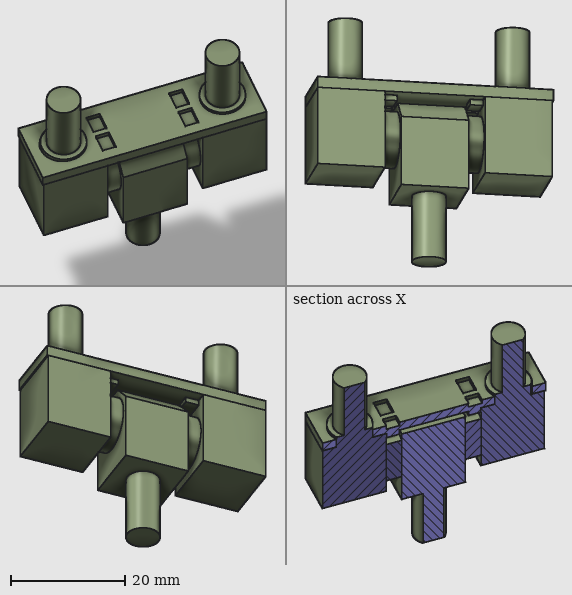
import cadquery as cq

overall_height = 43.0
plate_top = 31.0
plate_thickness = 2.0
plate_bottom = plate_top - plate_thickness

body_width = 12.0

plate_length = 42.0
collar_hole_spacing = 30.0

lug_size_x = 3.5
lug_size_y = 2.5
lug_pitch_x = 4.5
lug_pitch_y = 15.5
lug_drop = 1.0
pocket_depth = 0.8

row_offset = 0.1
block_pitch = 29.8
stud_positions = [row_offset + side * block_pitch / 2 for side in (-1, 1)]

block_length = 12.0
block_height = 14.0
block_bottom = plate_bottom - block_height
collar_diameter = 8.1
collar_stand_proud = 0.5
stud_diameter = 6.0

lever_length = 12.0
lever_bottom = 12.0
lever_top = 28.0
lever_chamfer = 3.5
rod_diameter = 6.0

spacer_diameter = 10.0
spacer_height = block_bottom + block_height / 2
spacer_length = (block_pitch - block_length - lever_length) / 2
spacer_pitch = lever_length + spacer_length


def box(length, y, z_bottom, z_top):
    """Full-width box centred at y."""
    return cq.Workplane("XY", origin=(0, y, z_bottom)).box(
        body_width, length, z_top - z_bottom, centered=(True, True, False)
    )


def cylinder(diameter, y, z_bottom, z_top):
    """Vertical cylinder centred across the width."""
    return (
        cq.Workplane("XY", origin=(0, y, z_bottom))
        .circle(diameter / 2)
        .extrude(z_top - z_bottom)
    )


def make_end_block(y):
    block = box(block_length, y, block_bottom, plate_bottom)
    collar = cylinder(collar_diameter, y, plate_bottom, plate_top + collar_stand_proud)
    stud = cylinder(stud_diameter, y, plate_bottom, overall_height)
    return block.union(collar).union(stud)


def make_lugs():
    """Four lugs, from below the plate up to the floor of the pockets."""
    lug_bottom = plate_bottom - lug_drop
    pocket_floor = plate_top - pocket_depth
    return (
        cq.Workplane("XY", origin=(0, 0, lug_bottom))
        .rarray(lug_pitch_x, lug_pitch_y, 2, 2)
        .rect(lug_size_x, lug_size_y)
        .extrude(pocket_floor - lug_bottom)
    )


def make_pockets():
    return (
        cq.Workplane("XY", origin=(0, 0, plate_top))
        .rarray(lug_pitch_x, lug_pitch_y, 2, 2)
        .rect(lug_size_x, lug_size_y)
        .extrude(-pocket_depth)
    )


def make_plate(blocks):
    plate = box(plate_length, 0, plate_bottom, plate_top)
    plate = plate.union(make_lugs()).cut(make_pockets())
    for side in (-1, 1):
        hole_y = side * collar_hole_spacing / 2
        plate = plate.cut(cylinder(collar_diameter, hole_y, plate_bottom, plate_top))
    for block in blocks:
        plate = plate.cut(block)
    return plate


def make_lever():
    block = (
        box(lever_length, row_offset, lever_bottom, lever_top)
        .edges(">Z and |Y")
        .chamfer(lever_chamfer)
    )
    rod = cylinder(rod_diameter, row_offset, 0, lever_bottom)
    return block.union(rod)


def make_spacer(y):
    """Disc with its axis along Y, centred at y."""
    return (
        cq.Workplane("XZ", origin=(0, y + spacer_length / 2, spacer_height))
        .circle(spacer_diameter / 2)
        .extrude(spacer_length)
    )


end_blocks = [make_end_block(y) for y in stud_positions]
plate = make_plate(end_blocks)
lever = make_lever()
spacers = [make_spacer(row_offset + side * spacer_pitch / 2) for side in (-1, 1)]

result = cq.Compound.makeCompound(
    [
        plate.val(),
        *[block.val() for block in end_blocks],
        lever.val(),
        *[spacer.val() for spacer in spacers],
    ]
)